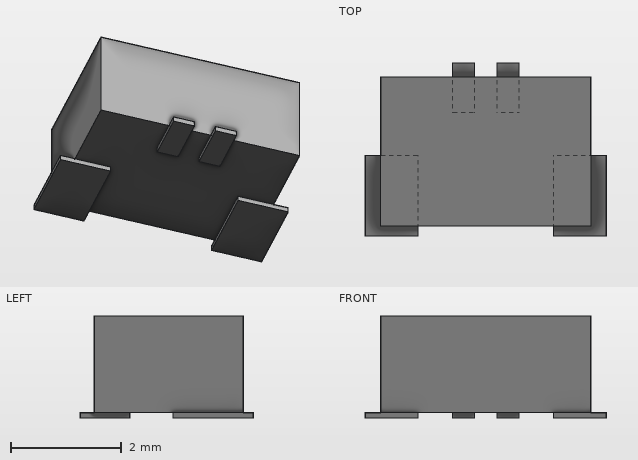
import cadquery as cq

total_width = 4.36
total_depth = 3.13
total_height = 1.85

housing_width = 3.8
housing_depth = 2.7
front_overhang = 0.18

pad_thickness = 0.1
large_pad_width = 0.96
large_pad_depth = 1.455
small_pad_width = 0.4
small_pad_depth = 0.9
small_pad_pitch = 0.802

housing_height = total_height - pad_thickness
pads_front_y = -housing_depth / 2 - front_overhang
pads_back_y = pads_front_y + total_depth
large_pad_x = (total_width - large_pad_width) / 2
large_pad_y = pads_front_y + large_pad_depth / 2
small_pad_x = small_pad_pitch / 2
small_pad_y = pads_back_y - small_pad_depth / 2


def make_housing():
    """Plain block standing on top of the pads."""
    block = cq.Workplane("XY").box(
        housing_width, housing_depth, housing_height, centered=(True, True, False)
    )
    return block.translate((0, 0, pad_thickness))


def make_pad(width, depth, x, y):
    """Flat rectangular pad centred at (x, y)."""
    pad = cq.Workplane("XY").box(width, depth, pad_thickness, centered=(True, True, False))
    return pad.translate((x, y, 0))


housing = make_housing()

large_pads = []
small_pads = []
for side in (-1, 1):
    large_pad = make_pad(large_pad_width, large_pad_depth, side * large_pad_x, large_pad_y)
    large_pads.append(large_pad.val())
    small_pad = make_pad(small_pad_width, small_pad_depth, side * small_pad_x, small_pad_y)
    small_pads.append(small_pad.val())

result = cq.Compound.makeCompound([housing.val(), *large_pads, *small_pads])